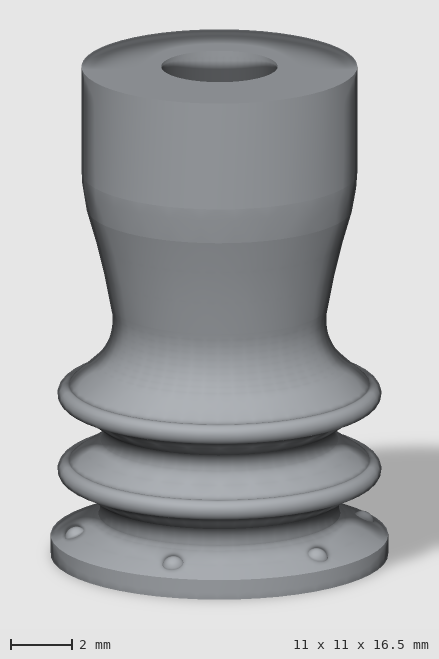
import cadquery as cq
import math

HEIGHT = 16.5
BORE_RADIUS = 3.8 / 2
COLLAR_RADIUS = 9.0 / 2

LIP_RADIUS = 11.0 / 2
LIP_HEIGHT = 0.66
SKIRT_TOP_RADIUS = 4.14
SKIRT_TOP_Z = 1.27

LOWER_GROOVE_RADIUS = 3.9
LOWER_GROOVE_BOTTOM_RADIUS = 3.95
LOWER_GROOVE_BOTTOM_Z = 1.39
LOWER_GROOVE_TOP_RADIUS = 4.05
LOWER_GROOVE_TOP_Z = 1.98

FOLD_RADIUS = 5.28
LOWER_FOLD_Z = 2.89
FOLD_PITCH = 2.55
UPPER_FOLD_Z = LOWER_FOLD_Z + FOLD_PITCH
RIM_EDGE_RADIUS = 4.9
RIM_HALF_HEIGHT = 0.31

UPPER_GROOVE_RADIUS = 3.76
UPPER_GROOVE_EDGE_RADIUS = 3.88
UPPER_GROOVE_HALF_HEIGHT = 0.26
UPPER_GROOVE_Z = LOWER_FOLD_Z + FOLD_PITCH / 2

WAIST_RADIUS = 3.48
WAIST_ARC_RADIUS = 1.98
WAIST_Z = 7.92
WAIST_BOTTOM_Z = 6.4
WAIST_TOP_Z = 8.43

TAPER_MIDDLE_RADIUS = 3.86
TAPER_MIDDLE_Z = 9.98
TAPER_TOP_RADIUS = 4.34
TAPER_TOP_Z = 11.73
BLEND_MIDDLE_RADIUS = 4.45
BLEND_MIDDLE_Z = 12.31
COLLAR_BOTTOM_Z = 12.92

BUMP_COUNT = 6
BUMP_RADIUS = 0.38
BUMP_CIRCLE_RADIUS = 4.75
BUMP_CENTER_Z = 0.81


def add_fold(profile, fold_z):
    """Continue the profile up the flank of a fold and around its rounded rim."""
    profile = profile.lineTo(RIM_EDGE_RADIUS, fold_z - RIM_HALF_HEIGHT)
    return profile.threePointArc((FOLD_RADIUS, fold_z), (RIM_EDGE_RADIUS, fold_z + RIM_HALF_HEIGHT))


def waist_point(z):
    """Return the point of the waist arc at height z."""
    arc_center_radius = WAIST_RADIUS + WAIST_ARC_RADIUS
    return arc_center_radius - math.sqrt(WAIST_ARC_RADIUS**2 - (z - WAIST_Z) ** 2), z


def make_turned_body():
    """Revolve the wall outline: bottom, outside from lip to collar, top, bore."""
    profile = cq.Workplane("XZ").moveTo(BORE_RADIUS, 0)
    profile = profile.lineTo(LIP_RADIUS, 0)
    profile = profile.lineTo(LIP_RADIUS, LIP_HEIGHT)
    profile = profile.lineTo(SKIRT_TOP_RADIUS, SKIRT_TOP_Z)

    profile = profile.lineTo(LOWER_GROOVE_BOTTOM_RADIUS, LOWER_GROOVE_BOTTOM_Z)
    profile = profile.threePointArc(
        (LOWER_GROOVE_RADIUS, (LOWER_GROOVE_BOTTOM_Z + LOWER_GROOVE_TOP_Z) / 2),
        (LOWER_GROOVE_TOP_RADIUS, LOWER_GROOVE_TOP_Z),
    )
    profile = add_fold(profile, LOWER_FOLD_Z)

    profile = profile.lineTo(UPPER_GROOVE_EDGE_RADIUS, UPPER_GROOVE_Z - UPPER_GROOVE_HALF_HEIGHT)
    profile = profile.threePointArc(
        (UPPER_GROOVE_RADIUS, UPPER_GROOVE_Z),
        (UPPER_GROOVE_EDGE_RADIUS, UPPER_GROOVE_Z + UPPER_GROOVE_HALF_HEIGHT),
    )
    profile = add_fold(profile, UPPER_FOLD_Z)

    profile = profile.lineTo(*waist_point(WAIST_BOTTOM_Z))
    profile = profile.threePointArc((WAIST_RADIUS, WAIST_Z), waist_point(WAIST_TOP_Z))

    profile = profile.threePointArc((TAPER_MIDDLE_RADIUS, TAPER_MIDDLE_Z), (TAPER_TOP_RADIUS, TAPER_TOP_Z))
    profile = profile.threePointArc((BLEND_MIDDLE_RADIUS, BLEND_MIDDLE_Z), (COLLAR_RADIUS, COLLAR_BOTTOM_Z))
    profile = profile.lineTo(COLLAR_RADIUS, HEIGHT)
    profile = profile.lineTo(BORE_RADIUS, HEIGHT)
    return profile.close().revolve(360, (0, 0), (0, 1))


def make_bumps():
    """Spheres evenly spaced around the skirt, the first one on +X."""
    bumps = cq.Workplane("XY").workplane(offset=BUMP_CENTER_Z)
    return bumps.polarArray(BUMP_CIRCLE_RADIUS, 0, 360, BUMP_COUNT).sphere(BUMP_RADIUS)


suction_cup = make_turned_body().union(make_bumps()).solids()

result = cq.Compound.makeCompound([suction_cup.val()])